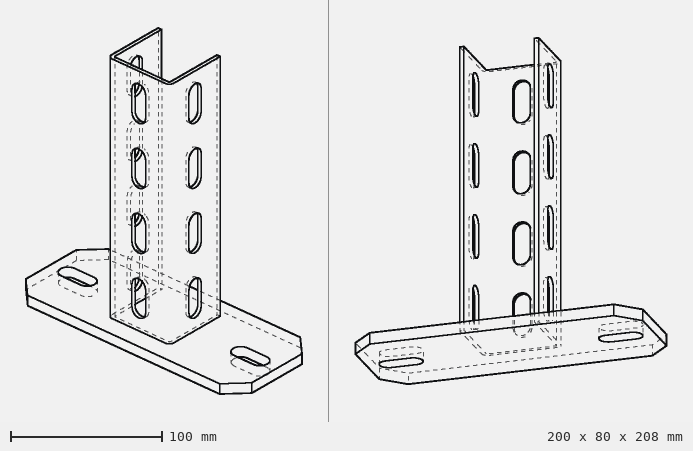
import cadquery as cq

plate_length = 200.0
plate_width = 80.0
plate_thickness = 8.0
plate_corner_chamfer = 15.0

post_width = 55.0
post_depth = 50.0
post_height = 200.0
post_wall = 3.0
bend_outer_radius = 4.0
bend_inner_radius = bend_outer_radius - post_wall

slot_length = 30.0
plate_slot_width = 13.0
post_slot_width = 12.0
plate_slot_spacing = 153.0
post_slot_count = 4
post_slot_pitch = 50.0
first_post_slot_height = post_slot_pitch / 2

plate_top = plate_thickness
post_front = -post_depth / 2
post_back = post_depth / 2


def make_base_plate():
    """Plate with chamfered corners and one lengthwise slot near each end."""
    return (
        cq.Workplane("XY")
        .rect(plate_length, plate_width)
        .extrude(plate_thickness)
        .edges("|Z")
        .chamfer(plate_corner_chamfer)
        .faces(">Z")
        .workplane()
        .pushPoints([(-plate_slot_spacing / 2, 0), (plate_slot_spacing / 2, 0)])
        .slot2D(slot_length, plate_slot_width)
        .cutThruAll()
    )


def rounded_block(width, front, corner_radius):
    """Post-height block from front to the open back, its front corners rounded."""
    depth = post_back - front
    return (
        cq.Workplane("XY", origin=(0, (front + post_back) / 2, plate_top))
        .rect(width, depth)
        .extrude(post_height)
        .edges("|Z and <Y")
        .fillet(corner_radius)
    )


def slot_column(plane, reach):
    """Column of upright slot cutters, extending by reach to both sides of the plane."""
    first_slot_z = plate_top + first_post_slot_height
    centres = [(0, first_slot_z + i * post_slot_pitch) for i in range(post_slot_count)]
    return (
        cq.Workplane(plane)
        .pushPoints(centres)
        .slot2D(slot_length, post_slot_width, angle=90)
        .extrude(reach, both=True)
    )


def make_post():
    """Bent U-channel with a column of slots in the web and in both flanges."""
    outer = rounded_block(post_width, post_front, bend_outer_radius)
    inner = rounded_block(post_width - 2 * post_wall, post_front + post_wall, bend_inner_radius)
    web_slots = slot_column("XZ", post_depth)
    flange_slots = slot_column("YZ", post_width)
    return outer.cut(inner).cut(web_slots).cut(flange_slots)


base_plate = make_base_plate()
post = make_post()

result = cq.Compound.makeCompound([base_plate.val(), post.val()])